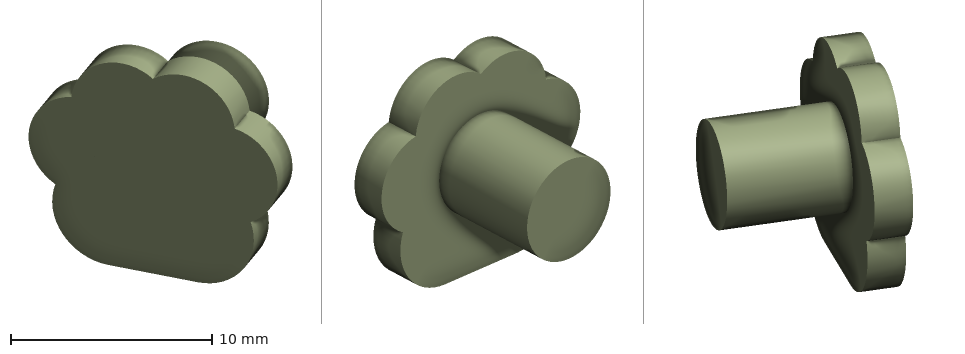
import cadquery as cq
import math

plate_thickness = 2.0
stem_length = 6.5
stem_diameter = 5.6
stem_height = 0.03
inlay_depth = plate_thickness / 2

upper_lobe_center = (1.64, 2.85)
side_lobe_center = (3.92, 0.43)
lobe_radius = 2.75
heel_center = (2.4, -2.98)
heel_radius = 3.0

toe_diameter = 3.0
upper_toe_center = (1.95, 3.4)
side_toe_center = (4.55, 0.49)

border = 1.0
pad_corner_radius = heel_radius - border
pad_crown_radius = 2.77
pad_crown_center = (0.0, -0.97)
pad_flank_radius = 3.46
pad_base_radius = 15.98


def mirrored(point):
    return (-point[0], point[1])


def point_toward(start, end, distance):
    """Point at a distance from start along the line to end."""
    ratio = distance / math.dist(start, end)
    return (start[0] + ratio * (end[0] - start[0]), start[1] + ratio * (end[1] - start[1]))


def circle_meet(first, first_radius, second, second_radius):
    """Intersection of two circles lying to the right of the line from first to second."""
    gap = math.dist(first, second)
    along = (gap**2 + first_radius**2 - second_radius**2) / (2 * gap)
    aside = math.sqrt(first_radius**2 - along**2)
    foot = point_toward(first, second, along)
    dx = (second[0] - first[0]) / gap
    dz = (second[1] - first[1]) / gap
    return (foot[0] + aside * dz, foot[1] - aside * dx)


def arc_middle(center, radius, start, end):
    """Middle of the minor arc from start to end."""
    chord_middle = ((start[0] + end[0]) / 2, (start[1] + end[1]) / 2)
    return point_toward(center, chord_middle, radius)


def extrude_back(sketch, depth):
    """Extrude from the front face toward +Y (the XZ workplane normal is -Y)."""
    return sketch.extrude(-depth)


def paw_outline():
    top_notch = (0.0, upper_lobe_center[1] + math.sqrt(lobe_radius**2 - upper_lobe_center[0] ** 2))
    toe_notch = circle_meet(side_lobe_center, lobe_radius, upper_lobe_center, lobe_radius)
    heel_notch = circle_meet(heel_center, heel_radius, side_lobe_center, lobe_radius)
    heel_bottom = (heel_center[0], heel_center[1] - heel_radius)

    upper_middle = arc_middle(upper_lobe_center, lobe_radius, top_notch, toe_notch)
    side_middle = (side_lobe_center[0] + lobe_radius, side_lobe_center[1])
    heel_middle = arc_middle(heel_center, heel_radius, heel_notch, heel_bottom)
    return (
        cq.Workplane("XZ")
        .moveTo(*top_notch)
        .threePointArc(upper_middle, toe_notch)
        .threePointArc(side_middle, heel_notch)
        .threePointArc(heel_middle, heel_bottom)
        .lineTo(*mirrored(heel_bottom))
        .threePointArc(mirrored(heel_middle), mirrored(heel_notch))
        .threePointArc(mirrored(side_middle), mirrored(toe_notch))
        .threePointArc(mirrored(upper_middle), top_notch)
        .close()
    )


def pad_outline():
    flank_center = circle_meet(
        heel_center,
        pad_corner_radius + pad_flank_radius,
        pad_crown_center,
        pad_crown_radius + pad_flank_radius,
    )
    base_drop = math.sqrt((pad_base_radius + pad_corner_radius) ** 2 - heel_center[0] ** 2)
    base_center = (0.0, heel_center[1] - base_drop)

    crown_top = (0.0, pad_crown_center[1] + pad_crown_radius)
    crown_end = point_toward(pad_crown_center, flank_center, pad_crown_radius)
    corner_start = point_toward(heel_center, flank_center, pad_corner_radius)
    corner_end = point_toward(heel_center, base_center, pad_corner_radius)
    flank_middle = arc_middle(flank_center, pad_flank_radius, crown_end, corner_start)
    corner_middle = (heel_center[0] + pad_corner_radius, heel_center[1])
    base_top = (0.0, base_center[1] + pad_base_radius)
    return (
        cq.Workplane("XZ")
        .moveTo(*mirrored(crown_end))
        .threePointArc(crown_top, crown_end)
        .threePointArc(flank_middle, corner_start)
        .threePointArc(corner_middle, corner_end)
        .threePointArc(base_top, mirrored(corner_end))
        .threePointArc(mirrored(corner_middle), mirrored(corner_start))
        .threePointArc(mirrored(flank_middle), mirrored(crown_end))
        .close()
    )


def make_pad():
    return extrude_back(pad_outline(), inlay_depth)


def make_toe(center):
    return extrude_back(cq.Workplane("XZ").center(*center).circle(toe_diameter / 2), inlay_depth)


def make_paw_body(inlays):
    """Paw plate with its rear stem, recessed to receive each inlay."""
    plate = extrude_back(paw_outline(), plate_thickness)
    stem_sketch = cq.Workplane("XZ", origin=(0, plate_thickness, stem_height)).circle(stem_diameter / 2)
    body = plate.union(extrude_back(stem_sketch, stem_length))
    for inlay in inlays:
        body = body.cut(inlay)
    return body


pad = make_pad()
toes = []
for toe_center in (upper_toe_center, side_toe_center):
    toes.append(make_toe(toe_center))
    toes.append(make_toe(mirrored(toe_center)))
paw_body = make_paw_body([pad, *toes])

result = cq.Compound.makeCompound([paw_body.val(), pad.val(), *[toe.val() for toe in toes]])